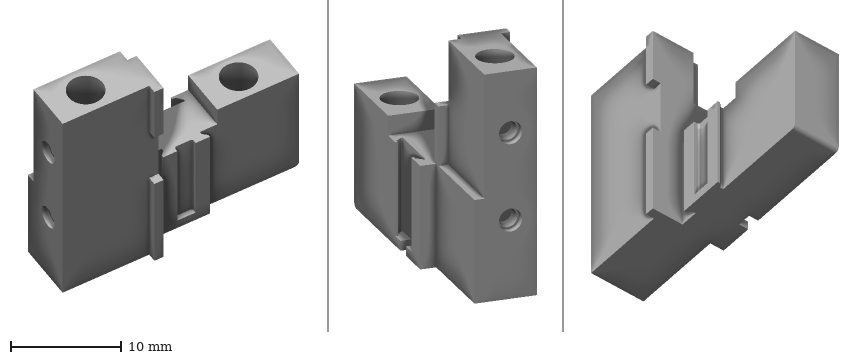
import cadquery as cq

length = 26.68
tower_height = 22.17
rear_height = 12.0
deck_height = 10.09
overall_width = 8.5

body_width = 5.07
body_front = 9.8
rear_block_front = 17.98
rear_corner_radius = 0.5

tower_base_width = 6.05
base_left = 1.55
tower_right = base_left + tower_base_width
tower_left = 2.5
flange_back = 10.2
flange_front = 9.2
flange_top = 15.87
notch_right = 3.8
lug_gap_top = 16.17

dovetail_y = 14.11
neck_half = 2.03
slot_half = 2.9
slot_depth = 1.05
slot_lip = 0.25
slot_lip_land = 0.32
slot_inner_land = 0.15
slot_stop_height = 0.95
stop_gap = 1.47
rail_half = 2.48
rail_neck = 0.3
rail_lip = 0.27
rail_right = 6.05
pocket_width = 1.95
pocket_depth = 0.55
pocket_chamfer = 0.15

bore_diameter = 3.6
bore_depth = 4.0
rear_bore_y = 21.8
front_bore_y = 4.0
port_diameter = 1.81
port_recess_diameter = 2.25
port_recess_depth = 0.7
port_depth = 2.13
port_heights = (7.65, 16.17)


def block(x_range, y_range, z_range):
    """Box between the given limits along each axis."""
    (x0, x1), (y0, y1), (z0, z1) = x_range, y_range, z_range
    solid = cq.Workplane("XY").box(x1 - x0, y1 - y0, z1 - z0, centered=False)
    return solid.translate((x0, y0, z0))


def dovetail_prism(half_profile, bottom, top):
    """Prism whose half outline (x, distance from the dovetail axis) is mirrored about that axis."""
    far_side = [(x, dovetail_y + offset) for x, offset in half_profile]
    near_side = [(x, dovetail_y - offset) for x, offset in reversed(half_profile)]
    base = cq.Workplane("XY").workplane(offset=bottom)
    return base.polyline(far_side + near_side).close().extrude(top - bottom)


def rear_body():
    deck = block((0, body_width), (body_front, length), (0, deck_height))
    raised = block((0, body_width), (rear_block_front, length), (0, rear_height))
    return deck.union(raised).faces(">Y").edges("<Z").fillet(rear_corner_radius)


def front_tower():
    base = block((base_left, tower_right), (0, flange_back), (0, deck_height))
    tower = block((tower_left, tower_right), (0, flange_back), (0, tower_height))
    flange = block((base_left, tower_right), (flange_front, flange_back), (0, flange_top))
    notch = block((tower_left, notch_right), (flange_front, flange_back), (flange_top, tower_height))
    body = base.union(tower).union(flange).cut(notch)
    for bottom, top in ((0, deck_height), (lug_gap_top, tower_height)):
        lug = block((tower_right, overall_width), (flange_front, flange_back), (bottom, top))
        body = body.union(lug)
    return body


def dovetail_slot():
    slot = dovetail_prism(
        [
            (0, neck_half),
            (slot_lip, neck_half),
            (slot_lip, neck_half + slot_lip_land),
            (slot_depth - slot_inner_land, slot_half),
            (slot_depth, slot_half),
        ],
        slot_stop_height,
        deck_height,
    )
    gap = dovetail_prism([(0, stop_gap / 2), (slot_depth, stop_gap / 2)], 0, slot_stop_height)
    return slot.union(gap)


def dovetail_rail():
    rail = dovetail_prism(
        [
            (body_width, neck_half),
            (body_width + rail_neck, neck_half),
            (rail_right - rail_lip, rail_half),
            (rail_right, rail_half),
        ],
        0,
        deck_height,
    )
    pocket = block(
        (rail_right - pocket_depth, rail_right),
        (dovetail_y - pocket_width / 2, dovetail_y + pocket_width / 2),
        (slot_stop_height, deck_height),
    )
    return rail.cut(pocket.edges("|Z and <X").chamfer(pocket_chamfer))


def bore(x, y, top):
    """Blind vertical bore going down from the given top face."""
    mouth = cq.Workplane("XY").workplane(offset=top).center(x, y)
    return mouth.circle(bore_diameter / 2).extrude(-bore_depth)


def port(x, z):
    """Counterbored hole entering the front face along +Y."""
    face = cq.Workplane("XZ").center(x, z)
    hole = face.circle(port_diameter / 2).extrude(-port_depth)
    recess = face.circle(port_recess_diameter / 2).extrude(-port_recess_depth)
    return hole.union(recess)


tower_center = (tower_left + tower_right) / 2

result = rear_body().union(front_tower()).cut(dovetail_slot()).union(dovetail_rail())
result = result.cut(bore(body_width / 2, rear_bore_y, rear_height))
result = result.cut(bore(tower_center, front_bore_y, tower_height))
for height in port_heights:
    result = result.cut(port(tower_center, height))